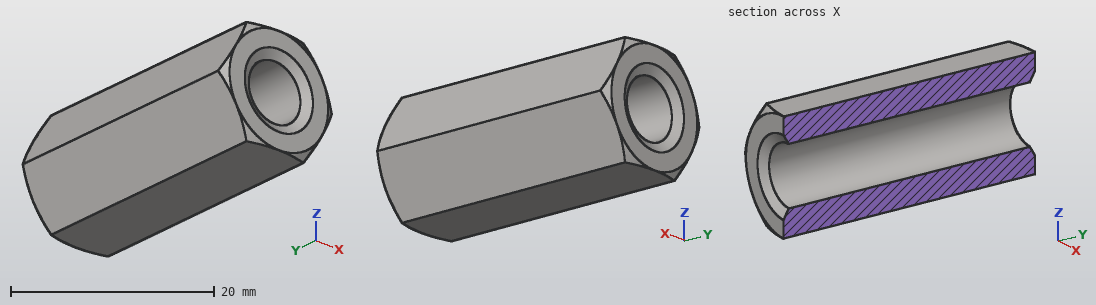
import cadquery as cq
import math

length = 30.0
across_corners = 15.0
bore_diameter = 6.8
countersink_diameter = 9.0
countersink_angle = 120.0
chamfer_angle = 30.0

corner_radius = across_corners / 2
flat_radius = corner_radius * math.cos(math.pi / 6)
half_length = length / 2
chamfer_height = (corner_radius - flat_radius) * math.tan(math.radians(chamfer_angle))
bore_radius = bore_diameter / 2
countersink_radius = countersink_diameter / 2
countersink_depth = (countersink_radius - bore_radius) / math.tan(math.radians(countersink_angle / 2))


def revolve_about_y(profile):
    """Revolve a closed (radius, y) profile around the Y axis."""
    return cq.Workplane("XY").polyline(profile).close().revolve(360, (0, 0, 0), (0, 1, 0))


hex_bar = cq.Workplane("XZ").polygon(6, across_corners).extrude(half_length, both=True)

envelope = revolve_about_y([
    (0, -half_length),
    (flat_radius, -half_length),
    (corner_radius, -half_length + chamfer_height),
    (corner_radius, half_length - chamfer_height),
    (flat_radius, half_length),
    (0, half_length),
])

bore = revolve_about_y([
    (0, -half_length),
    (countersink_radius, -half_length),
    (bore_radius, -half_length + countersink_depth),
    (bore_radius, half_length - countersink_depth),
    (countersink_radius, half_length),
    (0, half_length),
])

result = hex_bar.intersect(envelope).cut(bore)